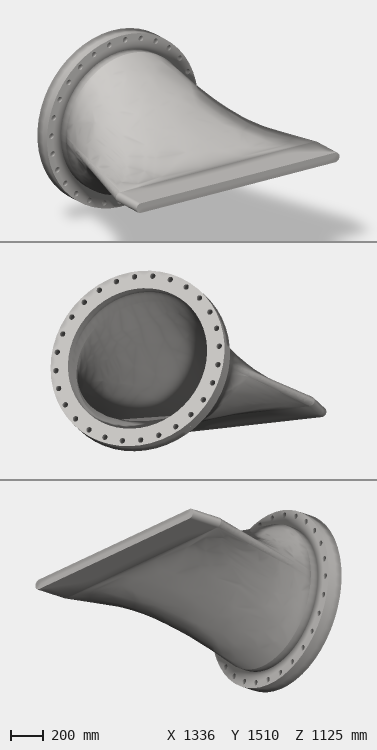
import cadquery as cq
import math

outside_diameter = 1125.0
flange_thickness = 51.0
ring_thickness = 51.0
bolt_count = 28
bolt_circle_diameter = 1057.0
bolt_hole_diameter = 35.0
bolt_pitch = 360 / bolt_count
first_bolt_angle = bolt_pitch / 6

neck_radius = 459.0
neck_end = 159.0
bore_radius = 450.0
bore_end = 75.0

total_length = 1336.0
lip_width = 1510.0
lip_thickness = 63.0
lip_length = 220.0
lip_start = total_length - lip_length
lip_radius = lip_thickness / 2
lip_flat_half_width = lip_width / 2 - lip_radius
outer_crease_height = 21.0

throat_half_height = 415.0
slit_half_width = 710.0
slit_edge_half_height = 25.0
slit_middle_half_height = 0.8
inner_crease_height = 17.0


def disc(radius, start, length):
    """Solid cylinder along X."""
    return cq.Workplane("YZ").workplane(offset=start).circle(radius).extrude(length)


def bolt_holes(start, length):
    """Cutters for the full circle of bolt holes; the first one sits just beside the top."""
    return (
        cq.Workplane("YZ")
        .workplane(offset=start)
        .polarArray(bolt_circle_diameter / 2, 90 - first_bolt_angle, 360, bolt_count)
        .circle(bolt_hole_diameter / 2)
        .extrude(length)
    )


def oval_edges(x, half_width, half_height, crease_height):
    """Oval across the X axis, as edges in order: +Y side, top, -Y side, bottom.

    The creases at plus and minus crease_height limit the two short side arcs.
    """
    crease = math.degrees(math.asin(crease_height / half_height))
    angles = [-crease, crease, 180 - crease, 180 + crease, 360 - crease]
    centre = cq.Vector(x, 0, 0)
    along_x = cq.Vector(1, 0, 0)
    along_y = cq.Vector(0, 1, 0)
    return [
        cq.Edge.makeEllipse(half_width, half_height, centre, along_x, along_y, angle1=start, angle2=end)
        for start, end in zip(angles, angles[1:])
    ]


def lip_edges(x):
    """Flat lip outline with full-round ends, in the same edge order as an oval."""
    flat = lip_flat_half_width
    left_top = cq.Vector(x, -flat, lip_radius)
    left_bottom = cq.Vector(x, -flat, -lip_radius)
    right_top = cq.Vector(x, flat, lip_radius)
    right_bottom = cq.Vector(x, flat, -lip_radius)
    return [
        cq.Edge.makeThreePointArc(right_bottom, cq.Vector(x, lip_width / 2, 0), right_top),
        cq.Edge.makeLine(right_top, left_top),
        cq.Edge.makeThreePointArc(left_top, cq.Vector(x, -lip_width / 2, 0), left_bottom),
        cq.Edge.makeLine(left_bottom, right_bottom),
    ]


def slit_edges(x):
    """Slit outline, widest at both ends and almost closed in the middle, in the edge order of an oval."""
    edge = slit_edge_half_height
    middle = slit_middle_half_height
    profile = [
        (slit_half_width, edge),
        (slit_half_width / 2, (edge + middle) / 2),
        (0, middle),
        (-slit_half_width / 2, (edge + middle) / 2),
        (-slit_half_width, edge),
    ]
    top = [cq.Vector(x, y, z) for y, z in profile]
    bottom = [cq.Vector(x, -y, -z) for y, z in profile]
    return [
        cq.Edge.makeLine(bottom[-1], top[0]),
        cq.Edge.makeSpline(top),
        cq.Edge.makeLine(top[-1], bottom[0]),
        cq.Edge.makeSpline(bottom),
    ]


def ruled_solid(sections):
    """Solid with straight walls that join each edge of a section to the same edge of the next one."""
    faces = [
        cq.Face.makeRuledSurface(near, far)
        for section, next_section in zip(sections, sections[1:])
        for near, far in zip(section, next_section)
    ]
    for end_section in (sections[0], sections[-1]):
        faces.append(cq.Face.makeFromWires(cq.Wire.assembleEdges(end_section)))
    return cq.Workplane(cq.Solid.makeSolid(cq.Shell.makeShell(faces)))


def make_sleeve():
    """Flange, neck and bill in one piece, with the passage cut out."""
    flange = disc(outside_diameter / 2, 0, flange_thickness)
    neck_and_bill = ruled_solid(
        [
            oval_edges(flange_thickness, neck_radius, neck_radius, outer_crease_height),
            oval_edges(neck_end, neck_radius, neck_radius, outer_crease_height),
            lip_edges(lip_start),
            lip_edges(total_length),
        ]
    )
    passage = ruled_solid(
        [
            oval_edges(0, bore_radius, bore_radius, inner_crease_height),
            oval_edges(bore_end, bore_radius, bore_radius, inner_crease_height),
            oval_edges(neck_end, bore_radius, throat_half_height, inner_crease_height),
            slit_edges(lip_start),
        ]
    )
    return flange.union(neck_and_bill).cut(passage).cut(bolt_holes(0, flange_thickness))


def make_backing_ring():
    """Plain bolted ring that fits over the neck, behind the flange."""
    ring = disc(outside_diameter / 2, flange_thickness, ring_thickness)
    ring = ring.cut(disc(neck_radius, flange_thickness, ring_thickness))
    return ring.cut(bolt_holes(flange_thickness, ring_thickness))


sleeve = make_sleeve()
backing_ring = make_backing_ring()

result = cq.Compound.makeCompound([*sleeve.solids().vals(), *backing_ring.solids().vals()])